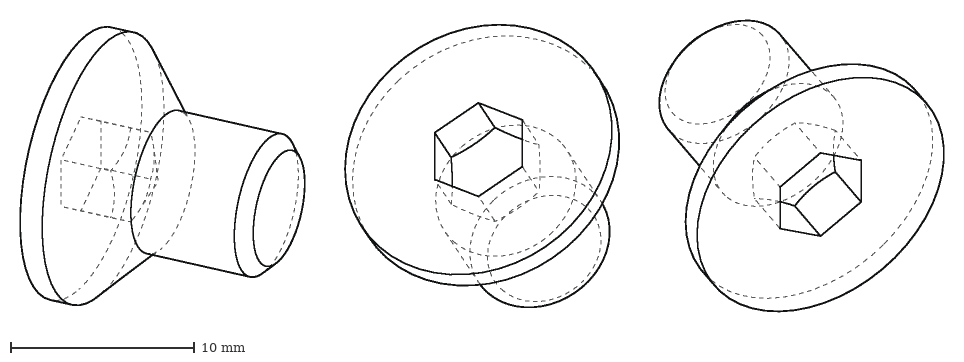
import cadquery as cq
import math

head_diameter = 15.24
shank_diameter = 8.0
total_length = 12.0
rim_thickness = 1.34
tip_chamfer_length = 0.78
tip_chamfer_depth = 0.76

socket_across_flats = 5.0
socket_corner_depth = 3.0
socket_cone_angle = 120.0

head_radius = head_diameter / 2
shank_radius = shank_diameter / 2
cone_length = head_radius - shank_radius
socket_corner_radius = socket_across_flats / math.sqrt(3)
socket_cone_depth = socket_corner_radius / math.tan(math.radians(socket_cone_angle / 2))
socket_total_depth = socket_corner_depth + socket_cone_depth


def make_screw_body():
    """Revolve the half profile of head and shank about the X axis."""
    return (
        cq.Workplane("XY")
        .moveTo(0, 0)
        .lineTo(0, head_radius)
        .lineTo(rim_thickness, head_radius)
        .lineTo(rim_thickness + cone_length, shank_radius)
        .lineTo(total_length - tip_chamfer_length, shank_radius)
        .lineTo(total_length, shank_radius - tip_chamfer_depth)
        .lineTo(total_length, 0)
        .close()
        .revolve(360, (0, 0, 0), (1, 0, 0))
    )


def make_socket():
    """Hexagonal prism whose inner end is trimmed to a drill-point cone."""
    prism = (
        cq.Workplane("YZ")
        .transformed(rotate=(0, 0, 90))
        .polygon(6, 2 * socket_corner_radius)
        .extrude(socket_total_depth)
    )
    drill = (
        cq.Workplane("XY")
        .moveTo(0, 0)
        .lineTo(0, socket_corner_radius)
        .lineTo(socket_corner_depth, socket_corner_radius)
        .lineTo(socket_total_depth, 0)
        .close()
        .revolve(360, (0, 0, 0), (1, 0, 0))
    )
    return prism.intersect(drill)


result = make_screw_body().cut(make_socket())